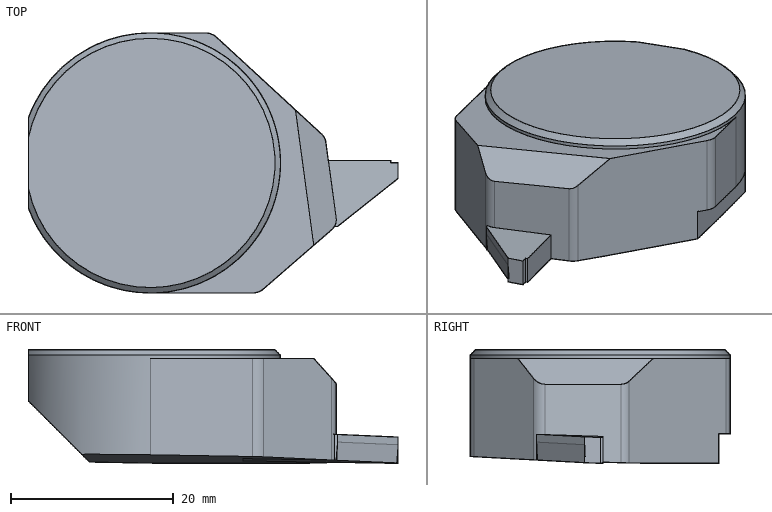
import cadquery as cq
import math


overall_height = 14.0
head_radius = 16.0
head_chamfer = 0.7
shoulder_height = 12.9
flat_x = -15.0
flank_corner_radius = 2.05
nose_corner_radius = 1.65
upper_corner_x = 7.55
lower_corner_x = 13.33
nose_top = (21.5, 3.15)
nose_bottom = (22.95, -7.65)
nose_chamfer = 3.2
heel_start_z = 7.7
notch_y = 14.6
notch_top_z = 3.65

slope_x = -0.017
slope_y = -0.034

insert_thickness = 3.2
insert_root_x = 11.35
insert_back_y = 0.3
insert_front_y = -7.8
insert_heel_x = 23.0
overall_length = 45.5
tip_x = flat_x + overall_length
tip_y = -1.9
tip_step_length = 0.9
tip_step_depth = 0.27
tip_back_y = insert_back_y - tip_step_depth
land_height = 0.95
relief_angle = 5.0

oversize = 90.95


def underside_z(x, y):
    """Height of the tilted underside; zero at the rear corner of the insert tip."""
    return slope_x * (x - tip_x) + slope_y * (y - tip_back_y)


def space_below(offset):
    """Large block below the underside plane raised by offset."""
    plane = cq.Plane(
        origin=(0, 0, underside_z(0, 0) + offset),
        xDir=(1, 0, slope_x),
        normal=(-slope_x, -slope_y, 1),
    )
    return cq.Workplane(plane).rect(oversize, oversize).extrude(-oversize)


def make_head():
    return cq.Workplane("XY").circle(head_radius).extrude(overall_height).faces(">Z").chamfer(head_chamfer)


def make_arm():
    """Tapered arm reaching from the head to the nose face."""
    arm = (
        cq.Workplane("XY")
        .moveTo(0, head_radius)
        .lineTo(upper_corner_x, head_radius)
        .lineTo(*nose_top)
        .lineTo(*nose_bottom)
        .lineTo(lower_corner_x, -head_radius)
        .lineTo(0, -head_radius)
        .close()
        .extrude(shoulder_height)
    )
    flank_corners = [(upper_corner_x, head_radius), (lower_corner_x, -head_radius)]
    for corners, radius in (
        (flank_corners, flank_corner_radius),
        ([nose_top, nose_bottom], nose_corner_radius),
    ):
        for x, y in corners:
            arm = arm.edges(cq.selectors.NearestToPointSelector((x, y, shoulder_height / 2))).fillet(radius)
    return arm.cut(make_nose_bevel())


def make_nose_bevel():
    """Triangular prism along the top of the nose face."""
    run_x = nose_bottom[0] - nose_top[0]
    run_y = nose_bottom[1] - nose_top[1]
    profile = cq.Plane(
        origin=(*nose_top, shoulder_height),
        xDir=(-run_y, run_x, 0),
        normal=(run_x, run_y, 0),
    )
    return (
        cq.Workplane(profile)
        .polyline([(-nose_chamfer, 0), (nose_chamfer, 0), (nose_chamfer, -2 * nose_chamfer)])
        .close()
        .extrude(oversize / 2, both=True)
    )


def make_heel_bevel():
    """Triangular prism under the -X side."""
    return (
        cq.Workplane("XZ")
        .polyline([
            (flat_x, heel_start_z),
            (flat_x + 2 * heel_start_z, -heel_start_z),
            (flat_x, -heel_start_z),
        ])
        .close()
        .extrude(oversize / 2, both=True)
    )


def make_flat_cut():
    return cq.Workplane("XY").box(oversize, oversize, oversize).translate((flat_x - oversize / 2, 0, 0))


def make_side_notch():
    return (
        cq.Workplane("XY")
        .box(oversize, oversize, oversize)
        .translate((0, notch_y + oversize / 2, notch_top_z - oversize / 2))
    )


def make_insert_blank():
    """Insert with upright sides; also the shape of its pocket."""
    outline = [
        (insert_root_x, insert_back_y),
        (tip_x - tip_step_length, insert_back_y),
        (tip_x - tip_step_length, tip_back_y),
        (tip_x, tip_back_y),
        (tip_x, tip_y),
        (insert_heel_x, insert_front_y),
        (insert_root_x, insert_front_y),
    ]
    prism = cq.Workplane("XY").workplane(offset=-overall_height).polyline(outline).close()
    prism = prism.extrude(2 * overall_height)
    return prism.intersect(space_below(insert_thickness)).cut(space_below(0))


def make_relief():
    """Wedge removed below the land of the slanted cutting side."""
    edge_x = tip_x - insert_heel_x
    edge_y = tip_y - insert_front_y
    edge_length = math.hypot(edge_x, edge_y)
    land_z = underside_z(tip_x, tip_y) + insert_thickness - land_height
    edge_rise = slope_x * edge_x + slope_y * edge_y
    profile = cq.Plane(
        origin=(tip_x, tip_y, land_z),
        xDir=(edge_y, -edge_x, 0),
        normal=(-edge_x, -edge_y, -edge_rise),
    )
    depth = 2 * insert_thickness
    inset = depth * math.tan(math.radians(relief_angle))
    return (
        cq.Workplane(profile)
        .polyline([(0, 0), (-inset, -depth), (inset, -depth), (inset, 0)])
        .close()
        .extrude(edge_length)
    )


def make_holder():
    holder = make_head().union(make_arm())
    for cutter in (
        make_flat_cut(),
        make_heel_bevel(),
        make_side_notch(),
        space_below(0),
        make_insert_blank(),
    ):
        holder = holder.cut(cutter)
    return holder.solids()


holder = make_holder()
insert = make_insert_blank().cut(make_relief()).solids()

result = cq.Compound.makeCompound([holder.val(), insert.val()])